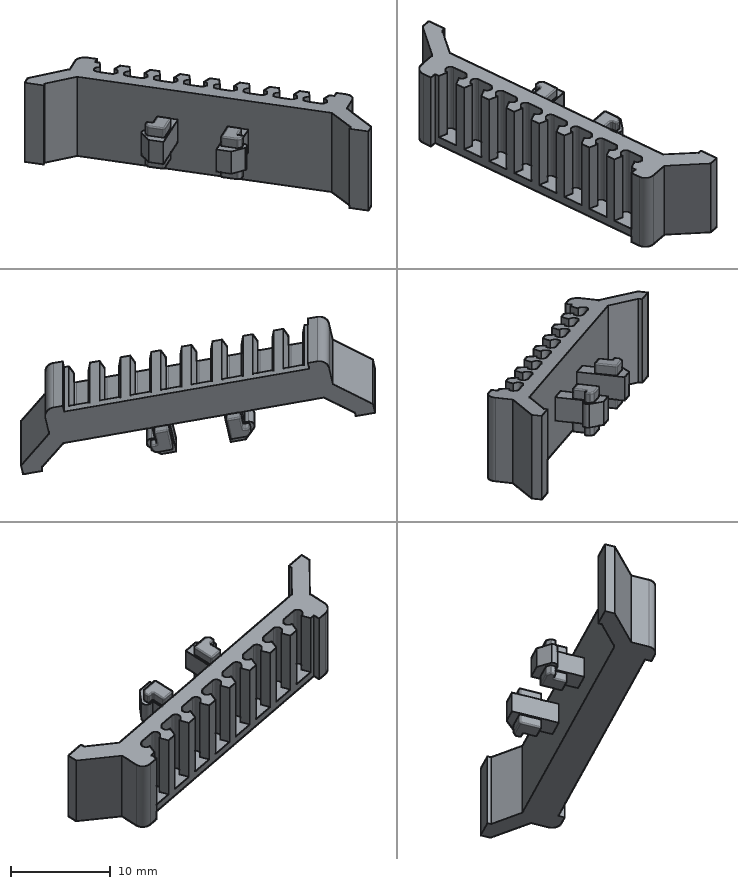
import cadquery as cq
import math

HEIGHT = 9.0
HALF_LENGTH = 18.0
MID_HEIGHT = HEIGHT / 2

HALF_PLATE = 14.5
RIM_Y = 4.25
COMB_Y = 3.55
HALF_COMB = 12.53
RIM_RADIUS = 1.0

WING_ROOT_X = 13.32
WING_ROOT_Y = 1.35
WING_TIP_Y = -2.75
WING_TIP_WIDTH = 1.98
WING_OUTER_Y = -1.7
WING_INNER_Y = -2.35

SLOT_COUNT = 8
SLOT_PITCH = 3.15
HALF_MOUTH = 1.08
HALF_NECK = 0.72
NECK_Y = 2.63
SLOT_BACK_Y = 1.62
SLOT_BASE = 1.0

HOOK_INNER_X = 2.77
HOOK_OUTER_X = 4.6
BARB_X = 5.5
BARB_Y = -3.02
BARB_RADIUS = 0.55
HOOK_TIP_Y = -5.0
HOOK_TIP_X = 4.32
LEAD_IN_Y = -3.8
HOOK_HEIGHT = 2.52

PAD_INSET = 0.18
PAD_ROOT_Y = -1.75
PAD_TIP_Y = -4.15
PAD_BARB_X = 5.08
PAD_BARB_Y = -3.2
PAD_LEAD_IN = 0.35
PAD_RADIUS = 0.15
PAD_SPAN = 4.68


def mirrored(solid):
    """Return the solid together with its mirror image across x = 0."""
    return solid.union(solid.mirror("YZ"))


def half_plate():
    """Right half of the plate with its end block and wing."""
    return (
        cq.Workplane("XY")
        .moveTo(0, 0)
        .lineTo(WING_ROOT_X, 0)
        .lineTo(HALF_LENGTH - WING_TIP_WIDTH, WING_INNER_Y)
        .lineTo(HALF_LENGTH - WING_TIP_WIDTH, WING_TIP_Y)
        .lineTo(HALF_LENGTH, WING_TIP_Y)
        .lineTo(HALF_LENGTH, WING_OUTER_Y)
        .lineTo(HALF_PLATE, WING_ROOT_Y)
        .lineTo(HALF_PLATE, RIM_Y - RIM_RADIUS)
        .radiusArc((HALF_PLATE - RIM_RADIUS, RIM_Y), -RIM_RADIUS)
        .lineTo(HALF_COMB, RIM_Y)
        .lineTo(HALF_COMB, COMB_Y)
        .lineTo(0, COMB_Y)
        .close()
        .extrude(HEIGHT)
    )


def slot(center_x):
    """Keyhole slot: tapered mouth, narrow neck and a bulb with round sides.

    It is open at the top and to the rear, and closed by a base at the bottom.
    """
    bulb_radius = (NECK_Y - SLOT_BACK_Y) / 2
    bulb_y = SLOT_BACK_Y + bulb_radius
    half_bulb = HALF_NECK + bulb_radius
    return (
        cq.Workplane("XY", origin=(center_x, 0, SLOT_BASE))
        .moveTo(-HALF_MOUTH, COMB_Y)
        .lineTo(-HALF_NECK, NECK_Y)
        .threePointArc((-half_bulb, bulb_y), (-HALF_NECK, SLOT_BACK_Y))
        .lineTo(HALF_NECK, SLOT_BACK_Y)
        .threePointArc((half_bulb, bulb_y), (HALF_NECK, NECK_Y))
        .lineTo(HALF_MOUTH, COMB_Y)
        .close()
        .extrude(HEIGHT - SLOT_BASE)
    )


def hook():
    """Right snap hook: a stem with an outward barb and a sloped lead-in."""
    arc_x = BARB_X - BARB_RADIUS
    arc_y = BARB_Y - BARB_RADIUS
    lead_in_x = arc_x + math.sqrt(BARB_RADIUS**2 - (LEAD_IN_Y - arc_y) ** 2)
    return (
        cq.Workplane("XY", origin=(0, 0, MID_HEIGHT))
        .moveTo(HOOK_INNER_X, 0)
        .lineTo(HOOK_INNER_X, HOOK_TIP_Y)
        .lineTo(HOOK_TIP_X, HOOK_TIP_Y)
        .lineTo(lead_in_x, LEAD_IN_Y)
        .radiusArc((arc_x, BARB_Y), -BARB_RADIUS)
        .lineTo(HOOK_OUTER_X, BARB_Y)
        .lineTo(HOOK_OUTER_X, 0)
        .close()
        .extrude(HOOK_HEIGHT / 2, both=True)
    )


def pads():
    """Rounded L-shaped pads that stand above and below the right hook."""
    inner_x = HOOK_INNER_X + PAD_INSET
    outer_x = HOOK_OUTER_X - PAD_INSET
    return (
        cq.Workplane("XY", origin=(0, 0, MID_HEIGHT))
        .moveTo(inner_x, PAD_ROOT_Y)
        .lineTo(inner_x, PAD_TIP_Y)
        .lineTo(PAD_BARB_X - PAD_LEAD_IN, PAD_TIP_Y)
        .lineTo(PAD_BARB_X, PAD_TIP_Y + PAD_LEAD_IN)
        .lineTo(PAD_BARB_X, PAD_BARB_Y)
        .lineTo(outer_x, PAD_BARB_Y)
        .lineTo(outer_x, PAD_ROOT_Y)
        .close()
        .extrude(PAD_SPAN / 2, both=True)
        .edges()
        .fillet(PAD_RADIUS)
    )


result = mirrored(half_plate())
for index in range(SLOT_COUNT):
    result = result.cut(slot((index - (SLOT_COUNT - 1) / 2) * SLOT_PITCH))
result = result.union(mirrored(hook().union(pads())))